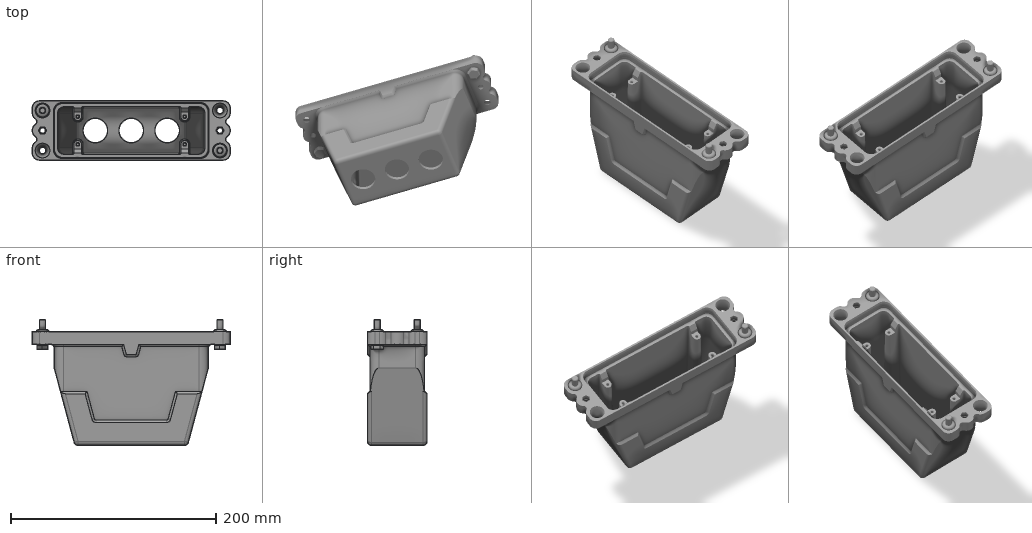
import cadquery as cq
import math


FLANGE_LENGTH = 193.0
FLANGE_WIDTH = 58.0
FLANGE_THICKNESS = 12.5
HOLE_X = 86.4
HOLE_Y = 19.5
LOBE_RADIUS = 7.2
NOTCH_RADIUS = 3.3
LOBE_SPACING = 17.2

BODY_LENGTH = 150.3
BODY_WIDTH = 53.2
BODY_CORNER = 9.0
KNEE_Z = -35.3
BOTTOM_Z = -111.0
SLOPE_ANGLE = 15.0
SLOPE = math.tan(math.radians(SLOPE_ANGLE))
EDGE_FILLET = 4.1
FILLET_EASE = 0.98
COLLAR_SIZE = 2.3

PAD_HEIGHT = (FLANGE_WIDTH - BODY_WIDTH) / 2
PAD_TOP_Z = -58.2
PAD_STEP_Z = -86.2
PAD_GAP_TOP = 43.1
PAD_CORNER = 1.6
FLANK_ANGLE = 45.0
TAB_BOTTOM_Z = -24.6
TAB_HALF_WIDTH = 13.2
TAB_CORNER = 3.0

FLOOR_THICKNESS = 3.5
CAVITY_LENGTH = 144.0
CAVITY_KNEE_LENGTH = 141.2
CAVITY_KNEE_Z = -42.0
CAVITY_KNEE_RADIUS = 18.0
CAVITY_WIDTH = 46.4
CAVITY_CORNER = 6.5
FLOOR_Z = BOTTOM_Z + FLOOR_THICKNESS
FLOOR_FILLET = 1.6
LEDGE_Z = -8.5
RECESS_CORNER = 7.8
RECESS_LIP = 0.6
RECESS_LIP_DEPTH = 2.3
RECESS_FOOT = 0.4
RECESS_FOOT_DEPTH = 2.4
CABLE_HOLE = 23.7
CABLE_PITCH = 35.0

BOSS_X = 52.1
BOSS_Y = 13.5
BOSS_RADIUS = 3.6
BOSS_DRAFT = 1.0
BOSS_TOP_Z = -18.3
BOSS_WALL_FILLET = 1.4
BOSS_HOLE = 2.6
BOSS_HOLE_CHAMFER = 0.5
BOSS_HOLE_DEPTH = 10.0
RIB_FRONT_Y = 18.2
RIB_BACK_Y = 21.7
RIB_FRONT_Z = -13.8

SCREW_DIAMETER = 6.2
SCREW_TOP_Z = 11.7
SCREW_CHAMFER = 0.6
COUNTERSINK_DIAMETER = 14.3
RING_DIAMETER = 12.5
RING_HEIGHT = 2.0
HEAD_CORNERS = 12.2
HEAD_HEIGHT = 4.2
HEAD_CHAMFER = 0.6
HEAD_TURN = 25.0
WASHER_DIAMETER = 10.5
WASHER_THICKNESS = 0.9
NUT_CORNERS = 8.0
NUT_DEPTH = 6.0
NUT_HOLE = 5.4


def box_prism(length, width, corner, z_low, z_high):
    """Upright block with rounded vertical corners."""
    block = cq.Workplane("XY").workplane(offset=z_low).rect(length, width).extrude(z_high - z_low)
    return block.edges("|Z").fillet(corner)


def mirrored_outline(plane, right):
    """Closed outline from its right-hand points and their mirror images."""
    left = [(-x, z) for x, z in reversed(right)]
    return plane.polyline(right + left).close()


def hood_profile(top_length, knee_length, knee_z, bottom_z, width):
    """Block running along Y whose end walls slope inward below the knee."""
    bottom_half = knee_length / 2 - (knee_z - bottom_z) * SLOPE
    right = [(top_length / 2, 0), (knee_length / 2, knee_z), (bottom_half, bottom_z)]
    return mirrored_outline(cq.Workplane("XZ"), right).extrude(width / 2, both=True)


def on_both_sides(shape):
    """The shape and its mirror image on the other long side."""
    return shape.union(shape.mirror("XZ"))


def make_flange():
    """Flat plate with scalloped ends; one quarter is drawn and mirrored."""
    end_x = FLANGE_LENGTH / 2
    half_width = FLANGE_WIDTH / 2
    lobe_x = end_x - LOBE_RADIUS
    lobe_y = half_width - LOBE_RADIUS
    notch_y = LOBE_SPACING / 2
    reach = LOBE_RADIUS + NOTCH_RADIUS
    notch_x = lobe_x + math.sqrt(reach**2 - notch_y**2)
    share = LOBE_RADIUS / reach
    tangent_x = lobe_x + (notch_x - lobe_x) * share
    middle_y = notch_y * share
    outer_y = LOBE_SPACING - middle_y
    notch_tip = notch_x - NOTCH_RADIUS
    diagonal = LOBE_RADIUS * math.sqrt(0.5)
    half_turn = math.asin(middle_y / LOBE_RADIUS) / 2
    shoulder = (lobe_x + LOBE_RADIUS * math.cos(half_turn), LOBE_RADIUS * math.sin(half_turn))

    quarter = (
        cq.Workplane("XY").workplane(offset=-FLANGE_THICKNESS)
        .moveTo(0, 0)
        .lineTo(end_x, 0)
        .threePointArc(shoulder, (tangent_x, middle_y))
        .threePointArc((notch_tip, notch_y), (tangent_x, outer_y))
        .threePointArc((shoulder[0], LOBE_SPACING - shoulder[1]), (end_x, LOBE_SPACING))
        .lineTo(end_x, lobe_y)
        .threePointArc((lobe_x + diagonal, lobe_y + diagonal), (lobe_x, half_width))
        .lineTo(0, half_width)
        .close()
        .extrude(FLANGE_THICKNESS)
    )
    half = quarter.union(quarter.mirror("XZ"))
    return half.union(half.mirror("YZ")).clean()


def make_core():
    """Hood body above the panels, with rounded corners and a chamfered collar under the flange."""
    rounded = box_prism(BODY_LENGTH, BODY_WIDTH, BODY_CORNER, PAD_TOP_Z, 0)
    core = hood_profile(BODY_LENGTH, BODY_LENGTH, KNEE_Z, BOTTOM_Z, BODY_WIDTH).intersect(rounded)
    collar = box_prism(
        BODY_LENGTH + 2 * COLLAR_SIZE,
        BODY_WIDTH + 2 * COLLAR_SIZE,
        BODY_CORNER + COLLAR_SIZE,
        -FLANGE_THICKNESS - COLLAR_SIZE,
        0,
    )
    return core.union(collar.faces("<Z").chamfer(COLLAR_SIZE))


def make_lower_hood():
    """Full-width lower hood, with the panel gap cut back to the body wall by 45-degree flanks."""
    lower = hood_profile(BODY_LENGTH, BODY_LENGTH, KNEE_Z, BOTTOM_Z, FLANGE_WIDTH)
    lower = lower.edges("|Y and <Z").fillet(EDGE_FILLET)
    lower = lower.faces("<Y or >Y").edges("not(>Z)").fillet(EDGE_FILLET * FILLET_EASE)
    panel_top = cq.Workplane("XY", origin=(0, 0, PAD_TOP_Z))
    upper = panel_top.rect(FLANGE_LENGTH, FLANGE_WIDTH).extrude(-PAD_TOP_Z)
    lower = lower.cut(upper)

    far_x = FLANGE_LENGTH / 2
    gap_bottom = PAD_GAP_TOP - (PAD_TOP_Z - PAD_STEP_Z) * SLOPE
    right = [(far_x, 0), (far_x, PAD_TOP_Z), (PAD_GAP_TOP, PAD_TOP_Z), (gap_bottom, PAD_STEP_Z)]
    wall_plane = cq.Workplane("XZ", origin=(0, -BODY_WIDTH / 2, 0))
    sharp = mirrored_outline(wall_plane, right).extrude(PAD_HEIGHT)
    margin = PAD_HEIGHT
    inner_corners = cq.selectors.BoxSelector(
        (-PAD_GAP_TOP - margin, -FLANGE_WIDTH, PAD_STEP_Z - margin),
        (PAD_GAP_TOP + margin, 0, PAD_TOP_Z + margin),
    )
    rounded = sharp.edges("|Y").edges(inner_corners).fillet(PAD_CORNER)
    gap = (
        rounded.faces(">Y").wires().toPending()
        .workplane(invert=True)
        .extrude(PAD_HEIGHT, taper=-FLANK_ANGLE, combine=False)
    )
    return lower.cut(on_both_sides(gap))


def make_tabs():
    """Rounded tab under the flange on each long side, with 45-degree flanks."""
    bottom_half = TAB_HALF_WIDTH + TAB_BOTTOM_Z * SLOPE
    right = [(TAB_HALF_WIDTH, 0), (bottom_half, TAB_BOTTOM_Z)]
    wall_plane = cq.Workplane("XZ", origin=(0, -BODY_WIDTH / 2, 0))
    tab = mirrored_outline(wall_plane, right).extrude(PAD_HEIGHT)
    tab = tab.edges("|Y and <Z").fillet(TAB_CORNER)
    tab = tab.faces("<Y").chamfer(PAD_HEIGHT * FILLET_EASE)
    return on_both_sides(tab)


def make_cavity():
    """Inner space with drafted end walls, a soft knee and rounded corners."""
    cavity = hood_profile(CAVITY_LENGTH, CAVITY_KNEE_LENGTH, CAVITY_KNEE_Z, FLOOR_Z, CAVITY_WIDTH)
    cavity = cavity.edges("|Y").edges("not(<Z or >Z)").fillet(CAVITY_KNEE_RADIUS)
    cavity = cavity.faces("<Y or >Y").edges("not(<Z or >Z)").fillet(CAVITY_CORNER)
    return cavity.faces("<Z").edges().fillet(FLOOR_FILLET)


def recess_band(grow, z_top, depth, inset):
    """One level of the recess; its outline shrinks by the inset from top to bottom."""
    outline = (
        cq.Sketch()
        .rect(BODY_LENGTH + 2 * grow, BODY_WIDTH + 2 * grow)
        .vertices()
        .fillet(RECESS_CORNER + grow)
    )
    taper = math.degrees(math.atan2(inset, depth))
    return cq.Workplane("XY", origin=(0, 0, z_top)).placeSketch(outline).extrude(-depth, taper=taper)


def make_recess():
    """Stepped seat for the insert: flared lip, upright band and tapered foot above the ledge."""
    foot_z = LEDGE_Z + RECESS_FOOT_DEPTH
    lip = recess_band(RECESS_LIP, 0, RECESS_LIP_DEPTH, RECESS_LIP)
    band = recess_band(0, -RECESS_LIP_DEPTH, -RECESS_LIP_DEPTH - foot_z, 0)
    foot = recess_band(0, foot_z, RECESS_FOOT_DEPTH, RECESS_FOOT)
    return lip.union(band).union(foot)


def make_boss():
    """Drafted boss against the +Y wall, backed by a sloping rib that rises to the ledge."""
    wall_y = CAVITY_WIDTH / 2
    back_y = (CAVITY_WIDTH + BODY_WIDTH) / 4
    depth = LEDGE_Z - FLOOR_Z + FLOOR_THICKNESS / 2
    column = (
        cq.Workplane("XY", origin=(0, 0, LEDGE_Z))
        .moveTo(-BOSS_RADIUS, back_y)
        .lineTo(-BOSS_RADIUS, BOSS_Y)
        .threePointArc((0, BOSS_Y - BOSS_RADIUS), (BOSS_RADIUS, BOSS_Y))
        .lineTo(BOSS_RADIUS, back_y)
        .close()
        .extrude(-depth, taper=-BOSS_DRAFT)
    )

    foot_half = BOSS_RADIUS + BOSS_WALL_FILLET
    foot_y = wall_y - BOSS_WALL_FILLET
    lean = math.tan(math.radians(BOSS_DRAFT))
    right = [(foot_half, LEDGE_Z), (foot_half + depth * lean, LEDGE_Z - depth)]
    foot_plane = cq.Workplane("XZ", origin=(0, back_y, 0))
    foot = mirrored_outline(foot_plane, right).extrude(back_y - foot_y)
    for side in (-1, 1):
        hollow = cq.Solid.makeCylinder(
            BOSS_WALL_FILLET,
            3 * FLANGE_WIDTH,
            cq.Vector(side * (foot_half - FLANGE_WIDTH * lean), foot_y, LEDGE_Z + FLANGE_WIDTH),
            cq.Vector(side * lean, 0, -1),
        )
        foot = foot.cut(cq.Workplane(hollow))

    front_y = BOSS_Y - 3 * BOSS_RADIUS
    above = (
        cq.Workplane("YZ")
        .moveTo(front_y, BOSS_TOP_Z)
        .lineTo(RIB_FRONT_Y, BOSS_TOP_Z)
        .lineTo(RIB_FRONT_Y, RIB_FRONT_Z)
        .lineTo(RIB_BACK_Y, LEDGE_Z)
        .lineTo(front_y, LEDGE_Z)
        .close()
        .extrude(BOSS_RADIUS * 2, both=True)
    )
    boss_top = cq.Workplane("XY", origin=(0, BOSS_Y, BOSS_TOP_Z))
    hole = boss_top.circle(BOSS_HOLE / 2).extrude(-BOSS_HOLE_DEPTH)
    mouth = cq.Workplane(
        cq.Solid.makeCone(BOSS_HOLE / 2, BOSS_HOLE / 2 + BOSS_HOLE_CHAMFER, BOSS_HOLE_CHAMFER)
    ).translate((0, BOSS_Y, BOSS_TOP_Z - BOSS_HOLE_CHAMFER))
    return column.union(foot).cut(above).cut(hole).cut(mouth)


def make_cable_holes():
    """Row of round openings through the hood floor."""
    centres = [(index * CABLE_PITCH, 0) for index in (-1, 0, 1)]
    bottom = cq.Workplane("XY", origin=(0, 0, BOTTOM_Z))
    return bottom.pushPoints(centres).circle(CABLE_HOLE / 2).extrude(2 * FLOOR_THICKNESS)


def make_countersink():
    """Conical hole narrowing from the flange's top face to its underside."""
    return cq.Workplane(
        cq.Solid.makeCone(SCREW_DIAMETER / 2, COUNTERSINK_DIAMETER / 2, FLANGE_THICKNESS)
    ).translate((0, 0, -FLANGE_THICKNESS))


def make_nut_pocket():
    """Hexagonal pocket with a through hole."""
    pocket = cq.Workplane("XY").polygon(6, NUT_CORNERS).extrude(-NUT_DEPTH)
    return pocket.union(cq.Workplane("XY").circle(NUT_HOLE / 2).extrude(-FLANGE_THICKNESS))


def make_screw():
    """Screw pushed up through a countersink, with a rounded sealing ring around it."""
    head_top = -FLANGE_THICKNESS - WASHER_THICKNESS
    head = (
        cq.Workplane("XY").workplane(offset=head_top)
        .polygon(6, HEAD_CORNERS)
        .extrude(-HEAD_HEIGHT)
        .faces("<Z").chamfer(HEAD_CHAMFER)
        .rotate((0, 0, 0), (0, 0, 1), HEAD_TURN)
    )
    head_plane = cq.Workplane("XY", origin=(0, 0, head_top))
    washer = head_plane.circle(WASHER_DIAMETER / 2).extrude(WASHER_THICKNESS)
    shank = (
        head_plane
        .circle(SCREW_DIAMETER / 2)
        .extrude(SCREW_TOP_Z - head_top)
        .faces(">Z").chamfer(SCREW_CHAMFER)
    )
    plug = cq.Workplane("XY").circle(RING_DIAMETER / 2).extrude(-FLANGE_THICKNESS)
    plug = plug.intersect(make_countersink())
    shank_radius = SCREW_DIAMETER / 2
    ring_radius = RING_DIAMETER / 2
    ring = (
        cq.Workplane("XZ")
        .moveTo(0, 0)
        .lineTo(ring_radius, 0)
        .ellipseArc(ring_radius - shank_radius, RING_HEIGHT, 0, 90, startAtCurrent=True)
        .lineTo(0, RING_HEIGHT)
        .close()
        .revolve(360, (0, 0, 0), (0, 1, 0))
    )
    return head.union(washer).union(shank).union(plug).union(ring)


def build():
    """Joins the hood, flange and bosses, cuts the openings and adds the screws."""
    hood = make_core().union(make_lower_hood())
    part = hood.union(make_tabs()).union(make_flange()).cut(make_cavity())

    boss = make_boss()
    for side in (-1, 1):
        placed = boss.translate((side * BOSS_X, 0, 0)).intersect(hood)
        part = part.union(on_both_sides(placed))
    part = part.cut(make_recess())

    part = part.cut(make_cable_holes())

    for x in (-HOLE_X, HOLE_X):
        part = part.cut(make_nut_pocket().translate((x, 0, 0)))
        for y in (-HOLE_Y, HOLE_Y):
            part = part.cut(make_countersink().translate((x, y, 0)))

    for side in (-1, 1):
        part = part.union(make_screw().translate((side * HOLE_X, -side * HOLE_Y, 0)))
    return part


result = build()